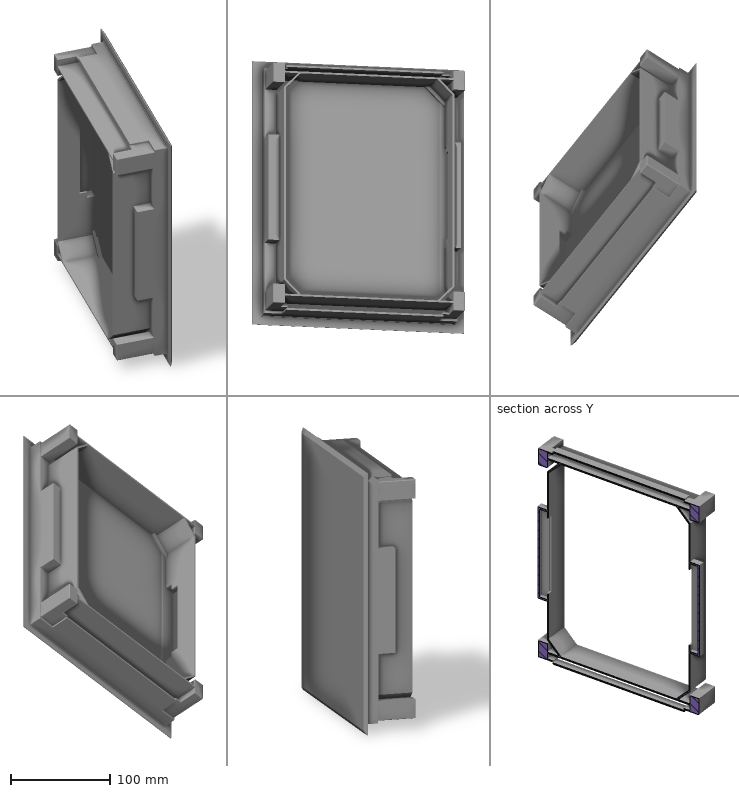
import cadquery as cq

plate_width = 218.5
plate_height = 271.5
total_depth = 57.0
plate_thickness = 3.5
plate_rim = 0.8
bevel_inset = 4.3

box_width = 199.0
box_height = 252.5
lip_overhang = 0.8
lip_thickness = 0.8
floor_y = 40.7
side_rim_y = 40.2
side_rim_thickness = 0.5
end_wall_thickness = 2.0
end_wall_front_y = 20.0
end_wall_width = 162.4

housing_length = 108.5
housing_front_y = 21.7
housing_wall = 2.5

insert_height = 247.3
base_thickness = 1.4
base_opening_width = 162.4
tube_width = 176.0
tube_height = 231.9
tube_corner_cut = 16.5
tube_wall = 2.0
web_corner_cut = 20.4
web_thickness = 2.7

block_inner_x = 87.2
block_height = 19.5
block_edge_radius = 0.8
shelf_inner_x = 80.0
shelf_thickness = 1.5

window_deep_length = 103.2
window_shallow_length = 89.5
window_step_y = 31.2
window_front_y = 23.0

plate_front_y = total_depth - plate_thickness
base_front_y = floor_y - base_thickness
insert_width = box_width - 2 * side_rim_thickness
cavity_width = tube_width - 2 * tube_wall
cavity_height = tube_height - 2 * tube_wall
cavity_corner_cut = tube_corner_cut - tube_wall * (2 - 2**0.5)
signs = (-1, 1)


def box_between(x_limits, y_limits, z_limits):
    """Block between two limits on each axis, given in any order."""
    limits = (x_limits, y_limits, z_limits)
    sizes = [abs(end - start) for start, end in limits]
    centre = tuple((start + end) / 2 for start, end in limits)
    return cq.Workplane("XY").box(*sizes).translate(centre)


def slab(width, height, front_y, back_y):
    """Block centred on the Y axis."""
    return box_between((-width / 2, width / 2), (front_y, back_y), (-height / 2, height / 2))


def octagon(width, height, corner_cut, front_y, back_y):
    """Slab with its four corners cut at 45 degrees."""
    return slab(width, height, front_y, back_y).edges("|Y").chamfer(corner_cut)




def make_plate():
    bevel_start_y = plate_front_y + plate_rim
    rim = slab(plate_width, plate_height, plate_front_y, bevel_start_y)
    bevel = (
        cq.Workplane("XZ", origin=(0, bevel_start_y, 0))
        .rect(plate_width, plate_height)
        .workplane(offset=bevel_start_y - total_depth)
        .rect(plate_width - 2 * bevel_inset, plate_height - 2 * bevel_inset)
        .loft(combine=True)
    )
    return rim.union(bevel)


def make_end_wall(z_sign):
    return box_between(
        (-end_wall_width / 2, end_wall_width / 2),
        (end_wall_front_y, floor_y),
        (z_sign * (box_height / 2 - end_wall_thickness), z_sign * box_height / 2),
    )


def make_housing(x_sign):
    """Shell that is open towards the tube and towards the base of the insert."""
    outer_x = box_width / 2
    inner_x = tube_width / 2
    half_length = housing_length / 2
    hollow_half_length = half_length - housing_wall
    shell = box_between(
        (x_sign * inner_x, x_sign * outer_x),
        (housing_front_y, floor_y),
        (-half_length, half_length),
    )
    hollow = box_between(
        (x_sign * inner_x, x_sign * (outer_x - housing_wall)),
        (housing_front_y + housing_wall, base_front_y),
        (-hollow_half_length, hollow_half_length),
    )
    base_clearance = slab(box_width - 2 * housing_wall, insert_height, base_front_y, floor_y)
    return shell.cut(hollow).cut(base_clearance)


def make_frame():
    lip_width = box_width + 2 * lip_overhang
    lip_height = box_height + 2 * lip_overhang
    frame = (
        make_plate()
        .union(slab(lip_width, lip_height, plate_front_y - lip_thickness, plate_front_y))
        .union(slab(box_width, box_height, side_rim_y, plate_front_y))
        .cut(slab(insert_width, insert_height, side_rim_y, floor_y))
    )
    for sign in signs:
        frame = frame.union(make_end_wall(sign)).union(make_housing(sign))
    return frame.clean()




def make_housing_notches():
    """Cutter for the base edges where the outer walls of the housings stand on the frame."""
    notched_width = box_width - 2 * housing_wall
    full = slab(box_width, housing_length, base_front_y, floor_y)
    return full.cut(slab(notched_width, housing_length, base_front_y, floor_y))


def make_tube():
    """Base plate with an eight-sided tube, and an opening through the base inside the tube."""
    base = slab(insert_width, insert_height, base_front_y, floor_y).cut(make_housing_notches())
    outside = octagon(tube_width, tube_height, tube_corner_cut, 0, base_front_y)
    opening = slab(base_opening_width, cavity_height, base_front_y, floor_y).intersect(
        octagon(cavity_width, cavity_height, cavity_corner_cut, base_front_y, floor_y)
    )
    bore = octagon(cavity_width, cavity_height, cavity_corner_cut, 0, base_front_y)
    return base.union(outside).cut(bore).cut(opening)


def make_web(x_sign, z_sign):
    """Thickening at the foot of one slanted wall of the tube."""
    corner_x = x_sign * cavity_width / 2
    corner_z = z_sign * cavity_height / 2
    inner_cut = web_corner_cut
    outer_cut = cavity_corner_cut
    return (
        cq.Workplane("XZ", origin=(0, floor_y, 0))
        .moveTo(corner_x - x_sign * outer_cut, corner_z)
        .lineTo(corner_x - x_sign * inner_cut, corner_z)
        .lineTo(corner_x, corner_z - z_sign * inner_cut)
        .lineTo(corner_x, corner_z - z_sign * outer_cut)
        .close()
        .extrude(base_thickness + web_thickness)
    )


def is_plain_corner(x_sign, z_sign):
    """The corner at +X, -Z has no web."""
    return x_sign > 0 and z_sign < 0


def make_block(x_sign, z_sign):
    """Corner block with a rounded outer long edge, and rounded outer front edges except at -X, +Z."""
    block = box_between(
        (x_sign * block_inner_x, x_sign * insert_width / 2),
        (0, base_front_y),
        (z_sign * (insert_height / 2 - block_height), z_sign * insert_height / 2),
    )
    outer_side = ">X" if x_sign > 0 else "<X"
    outer_end = ">Z" if z_sign > 0 else "<Z"
    rounded_edges = f"(|Y and {outer_side} and {outer_end})"
    has_sharp_front = x_sign < 0 < z_sign
    if not has_sharp_front:
        rounded_edges += f" or (<Y and ({outer_side} or {outer_end}))"
    return block.edges(rounded_edges).fillet(block_edge_radius)


def make_shelf(x_sign, z_sign):
    """Thin plate under the end wall, reaching from the block towards the middle."""
    block_middle_x = (block_inner_x + insert_width / 2) / 2
    return box_between(
        (x_sign * shelf_inner_x, x_sign * block_middle_x),
        (end_wall_front_y, base_front_y),
        (z_sign * (insert_height / 2 - shelf_thickness), z_sign * insert_height / 2),
    )


def make_end_strip(z_sign):
    """Carries the short wall of the tube on to the corner blocks."""
    return box_between(
        (-block_inner_x, block_inner_x),
        (0, base_front_y),
        (z_sign * cavity_height / 2, z_sign * tube_height / 2),
    )


def make_windows():
    """Cutter through both long walls of the tube, longer next to the base."""
    deep = slab(tube_width, window_deep_length, window_step_y, base_front_y)
    shallow = slab(tube_width, window_shallow_length, window_front_y, window_step_y)
    return deep.union(shallow)


def make_insert():
    insert = make_tube().cut(make_windows())
    for z_sign in signs:
        insert = insert.union(make_end_strip(z_sign))
        for x_sign in signs:
            insert = insert.union(make_block(x_sign, z_sign)).union(make_shelf(x_sign, z_sign))
            if not is_plain_corner(x_sign, z_sign):
                insert = insert.union(make_web(x_sign, z_sign))
    return insert.clean()


frame = make_frame()
insert = make_insert()
result = cq.Compound.makeCompound([frame.solids().val(), insert.solids().val()])